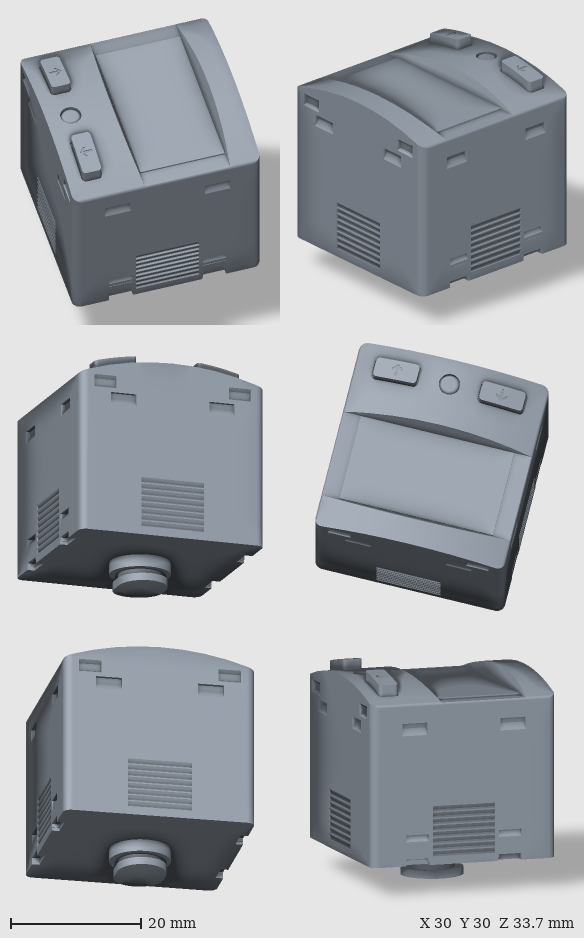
import cadquery as cq
import math

WIDTH = 30.0
HALF = WIDTH / 2
CORNER_RADIUS = 1.28
CROWN_TOP = 27.8
CROWN_RADIUS = 44.9
SHOULDER_RADIUS = 0.47

RECESS_Y = 3.25
RECESS_FLOOR = 25.22
RECESS_HALF = 6.8
RECESS_DRAFT = 20.0
DISPLAY_WIDTH = 24.28
DISPLAY_DEPTH = 13.5
DISPLAY_RISE = 0.27

CONTROL_Y = -11.1
BUTTON_X = 8.4
BUTTON_WIDTH = 6.8
BUTTON_DEPTH = 3.05
BUTTON_RADIUS = 0.55
BUTTON_RISE = 1.62
BUTTON_GAP_X = 0.27
BUTTON_GAP_Y = 0.15
BUTTON_WELL_DEPTH = 0.67
ARROW_X = 8.3
ARROW_LENGTH = 1.95
ARROW_SPAN = 1.7
ARROW_STROKE = 0.4
ARROW_HEAD_SLOPE = 0.85
ARROW_DEPTH = 0.17
LAMP_WELL_DIAMETER = 3.27
LAMP_WELL_DEPTH = 0.85
LAMP_DIAMETER = 3.0
LAMP_ROUND = 0.47
LAMP_DROP = 0.17

VENT_WIDTH = 10.1
VENT_COUNT = 8
VENT_BOTTOM = 1.3
VENT_SPAN = 7.82
VENT_HEIGHT = 0.8
VENT_PITCH = (VENT_SPAN - VENT_HEIGHT) / (VENT_COUNT - 1)
VENT_BACK_HEIGHT = 0.25
VENT_DEPTH = 0.37

UPPER_POCKET_OFFSET = 8.0
UPPER_POCKET_WIDTH = 4.08
UPPER_POCKET_BOTTOM = 20.35
UPPER_POCKET_TOP = 22.25
RAMP_RISE = 1.08
UPPER_POCKET_DEPTH = 0.65

OUTER_POCKET_OFFSET = 10.95
OUTER_POCKET_WIDTH = 3.55
OUTER_POCKET_BOTTOM = 22.93
OUTER_POCKET_TOP = 24.9
OUTER_POCKET_DEPTH = 0.57
OUTER_FLOOR_RISE = 0.35
OUTER_ROOF_DROP = 0.5

LOWER_POCKET_OFFSET = 7.52
LOWER_POCKET_WIDTH = 3.68
LOWER_POCKET_BOTTOM = 3.2
LOWER_POCKET_TOP = 4.82
LOWER_POCKET_STEP = 0.07
LOWER_POCKET_DEPTH = 0.95

NOTCH_HEIGHT = 1.05
NOTCH_DEPTH = 1.18
NOTCH_FLARE = 0.15

COLLAR_DIAMETER = 9.5
COLLAR_HEIGHT = 1.9
NECK_DIAMETER = 6.85
NECK_HEIGHT = 1.08
FLANGE_LENGTH = 9.85
FLANGE_WIDTH = 7.75
FLANGE_DOME_RADIUS = 25.95
OVERALL_HEIGHT = 33.72


def crown_z(x):
    """Height of the crown at distance x from the middle plane."""
    return CROWN_TOP - CROWN_RADIUS + math.sqrt(CROWN_RADIUS**2 - x**2)


BUTTON_INNER_X = BUTTON_X - BUTTON_WIDTH / 2
CONNECTOR_BOTTOM = crown_z(BUTTON_INNER_X) + BUTTON_RISE - OVERALL_HEIGHT


def under_crown(lift):
    """Solid filling the housing footprint up to the crown raised by lift."""
    edge_z = crown_z(HALF) + lift
    return (
        cq.Workplane("XZ")
        .moveTo(-HALF, 0)
        .lineTo(-HALF, edge_z)
        .threePointArc((0, CROWN_TOP + lift), (HALF, edge_z))
        .lineTo(HALF, 0)
        .close()
        .extrude(HALF, both=True)
    )


def make_housing():
    profile = under_crown(0).edges("|Y").edges(">Z").fillet(SHOULDER_RADIUS)
    footprint = (
        cq.Workplane("XY")
        .rect(WIDTH, WIDTH)
        .extrude(CROWN_TOP)
        .edges("|Z")
        .fillet(CORNER_RADIUS)
    )
    return profile.intersect(footprint)


def cut_display_recess(body):
    rise = CROWN_TOP - RECESS_FLOOR
    top_half = RECESS_HALF + rise * math.tan(math.radians(RECESS_DRAFT))
    recess = (
        cq.Workplane("YZ")
        .polyline([
            (RECESS_Y - RECESS_HALF, RECESS_FLOOR),
            (RECESS_Y + RECESS_HALF, RECESS_FLOOR),
            (RECESS_Y + top_half, CROWN_TOP),
            (RECESS_Y - top_half, CROWN_TOP),
        ])
        .close()
        .extrude(HALF, both=True)
    )
    display = (
        cq.Workplane("XY", origin=(0, RECESS_Y, RECESS_FLOOR))
        .rect(DISPLAY_WIDTH, DISPLAY_DEPTH)
        .extrude(DISPLAY_RISE)
    )
    return body.cut(recess).union(display)


def control_block(x, width, depth, radius):
    """Upright rounded block at a control position, reaching above the whole part."""
    return (
        cq.Workplane("XY", origin=(x, CONTROL_Y, RECESS_FLOOR - BUTTON_WELL_DEPTH))
        .rect(width, depth)
        .extrude(CROWN_TOP)
        .edges("|Z")
        .fillet(radius)
    )


def make_arrow(x, direction):
    """Upright arrow-shaped prism pointing along +Y (direction 1) or -Y (-1)."""
    half_stroke = ARROW_STROKE / 2
    half_span = ARROW_SPAN / 2
    tip = ARROW_LENGTH / 2
    barb = tip - ARROW_HEAD_SLOPE * half_span
    crotch = tip - ARROW_HEAD_SLOPE * half_stroke - ARROW_STROKE
    right_side = [
        (half_stroke, -tip),
        (half_stroke, crotch),
        (half_span, barb - ARROW_STROKE),
        (half_span, barb),
    ]
    left_side = [(-px, py) for px, py in reversed(right_side)]
    outline = [(px, py * direction) for px, py in right_side + [(0, tip)] + left_side]
    return (
        cq.Workplane("XY", origin=(x, CONTROL_Y, RECESS_FLOOR))
        .polyline(outline)
        .close()
        .extrude(CROWN_TOP)
    )


def add_button(body, side):
    x = side * BUTTON_X
    well = control_block(
        x,
        BUTTON_WIDTH + 2 * BUTTON_GAP_X,
        BUTTON_DEPTH + 2 * BUTTON_GAP_Y,
        BUTTON_RADIUS + BUTTON_GAP_Y,
    ).cut(under_crown(-BUTTON_WELL_DEPTH))
    button = control_block(x, BUTTON_WIDTH, BUTTON_DEPTH, BUTTON_RADIUS).intersect(under_crown(BUTTON_RISE))
    arrow = make_arrow(side * ARROW_X, -side).cut(under_crown(BUTTON_RISE - ARROW_DEPTH))
    return body.cut(well).union(button).cut(arrow)


def add_lamp(body):
    floor = CROWN_TOP - LAMP_WELL_DEPTH
    base = cq.Workplane("XY", origin=(0, CONTROL_Y, floor))
    well = base.circle(LAMP_WELL_DIAMETER / 2).extrude(LAMP_WELL_DEPTH)
    lamp = (
        base.circle(LAMP_DIAMETER / 2)
        .extrude(LAMP_WELL_DEPTH - LAMP_DROP)
        .faces(">Z")
        .edges()
        .fillet(LAMP_ROUND)
    )
    return body.cut(well).union(lamp)


def side_prism(section, offset, width):
    """Prism cut into the -Y side; section points are (depth, Z), centred at X = offset."""
    points = [(depth - HALF, z) for depth, z in section]
    return (
        cq.Workplane("YZ", origin=(offset - width / 2, 0, 0))
        .polyline(points)
        .close()
        .extrude(width)
    )


def mirrored_pair(section, offset, width):
    return side_prism(section, offset, width).union(side_prism(section, -offset, width))


def make_vents():
    vents = cq.Workplane("XY")
    for index in range(VENT_COUNT):
        bottom = VENT_BOTTOM + index * VENT_PITCH
        section = [
            (0, bottom),
            (VENT_DEPTH, bottom),
            (VENT_DEPTH, bottom + VENT_BACK_HEIGHT),
            (0, bottom + VENT_HEIGHT),
        ]
        vents = vents.add(side_prism(section, 0, VENT_WIDTH))
    return vents.combine()


def make_upper_pockets():
    section = [
        (0, UPPER_POCKET_BOTTOM),
        (UPPER_POCKET_DEPTH, UPPER_POCKET_BOTTOM + RAMP_RISE),
        (UPPER_POCKET_DEPTH, UPPER_POCKET_TOP),
        (0, UPPER_POCKET_TOP),
    ]
    return mirrored_pair(section, UPPER_POCKET_OFFSET, UPPER_POCKET_WIDTH)


def make_outer_pockets():
    section = [
        (0, OUTER_POCKET_BOTTOM),
        (OUTER_POCKET_DEPTH, OUTER_POCKET_BOTTOM + OUTER_FLOOR_RISE),
        (OUTER_POCKET_DEPTH, OUTER_POCKET_TOP - OUTER_ROOF_DROP),
        (0, OUTER_POCKET_TOP),
    ]
    return mirrored_pair(section, OUTER_POCKET_OFFSET, OUTER_POCKET_WIDTH)


def make_lower_pockets():
    ramp_start = LOWER_POCKET_TOP - RAMP_RISE
    section = [
        (0, LOWER_POCKET_BOTTOM),
        (LOWER_POCKET_STEP, LOWER_POCKET_BOTTOM),
        (LOWER_POCKET_STEP, ramp_start),
        (LOWER_POCKET_DEPTH, LOWER_POCKET_TOP),
        (0, LOWER_POCKET_TOP),
    ]
    return mirrored_pair(section, LOWER_POCKET_OFFSET, LOWER_POCKET_WIDTH)


def make_bottom_notches():
    """Notches in the bottom edge, flared towards the middle of the side."""
    inner = LOWER_POCKET_OFFSET - LOWER_POCKET_WIDTH / 2
    outer = LOWER_POCKET_OFFSET + LOWER_POCKET_WIDTH / 2
    flare_z = NOTCH_HEIGHT / 2
    notch = (
        cq.Workplane("XZ", origin=(0, -HALF + NOTCH_DEPTH, 0))
        .polyline([
            (outer, 0),
            (outer, NOTCH_HEIGHT),
            (inner, NOTCH_HEIGHT),
            (inner, flare_z),
            (inner - NOTCH_FLARE, flare_z),
            (inner - NOTCH_FLARE, 0),
        ])
        .close()
        .extrude(NOTCH_DEPTH)
    )
    return notch.union(notch.mirror("YZ"))


def cut_sides(body):
    cutters = make_vents().union(make_upper_pockets())
    y_side_cutters = cutters.union(make_outer_pockets())
    x_side_cutters = cutters.union(make_lower_pockets()).union(make_bottom_notches())
    for angle, cutter in [
        (0, y_side_cutters),
        (90, x_side_cutters),
        (180, y_side_cutters),
        (270, x_side_cutters),
    ]:
        body = body.cut(cutter.rotate((0, 0, 0), (0, 0, 1), angle))
    return body


def make_connector():
    collar = cq.Workplane("XY").circle(COLLAR_DIAMETER / 2).extrude(-COLLAR_HEIGHT)
    neck_bottom = -COLLAR_HEIGHT - NECK_HEIGHT
    neck = cq.Workplane("XY").circle(NECK_DIAMETER / 2).extrude(neck_bottom)
    flange = (
        cq.Workplane("XY", origin=(0, 0, neck_bottom))
        .slot2D(FLANGE_LENGTH, FLANGE_WIDTH, 90)
        .extrude(CONNECTOR_BOTTOM - neck_bottom)
    )
    dome = cq.Workplane("XY", origin=(0, 0, CONNECTOR_BOTTOM + FLANGE_DOME_RADIUS)).sphere(FLANGE_DOME_RADIUS)
    return collar.union(neck).union(flange.intersect(dome))


result = make_housing()
result = cut_display_recess(result)
for side in (-1, 1):
    result = add_button(result, side)
result = add_lamp(result)
result = cut_sides(result)
result = result.union(make_connector())